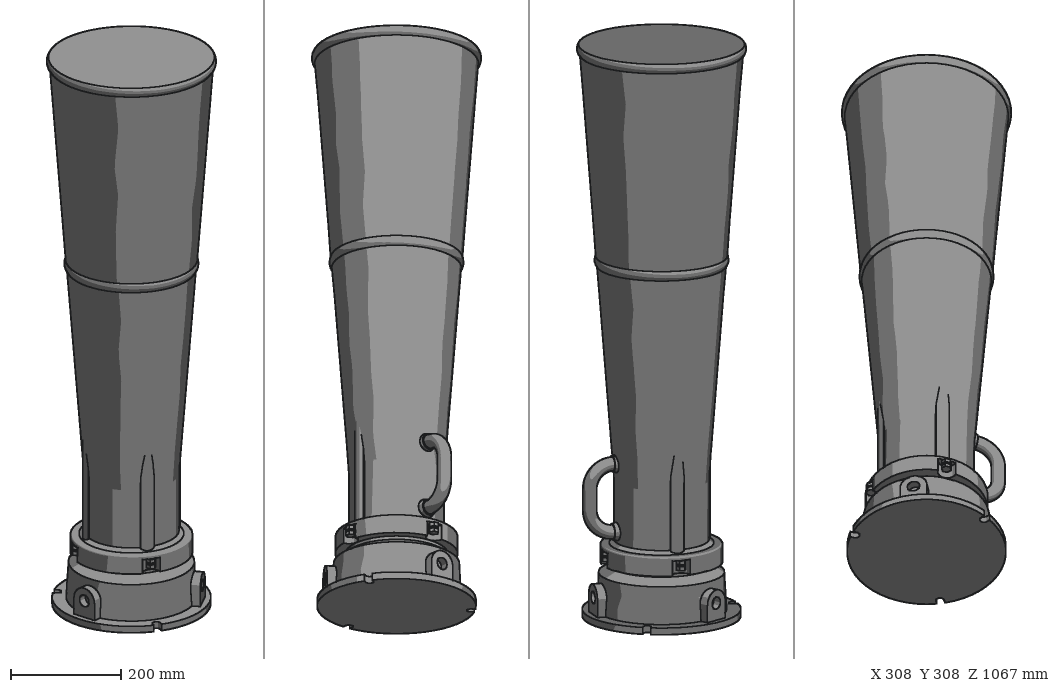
import cadquery as cq
import math


TOTAL_HEIGHT = 1067.0

FLANGE_RADIUS = 144.0
FLANGE_THICKNESS = 13.0
HOUSING_FOOT_RADIUS = 118.0
HOUSING_TOP_RADIUS = 114.0
HOUSING_TOP_Z = 82.0
NECK_RADIUS = 93.0
NECK_BOTTOM_Z = 95.0
JOINT_Z = 101.0

LUG_ANGLES = [60, 180, 300]
LUG_FACE_DISTANCE = 131.0
LUG_HALF_WIDTH = 25.0
LUG_ROOT_DISTANCE = 64.0
LUG_HOLE_Z = 45.0
LUG_HOLE_DIAMETER = 22.0
LUG_HOLE_DEPTH = 16.0
SLOT_ANGLES = [0, 120, 240]
SLOT_WIDTH = 15.0
SLOT_DEPTH = 15.0

COLLAR_RADIUS = 111.0
COLLAR_TOP_Z = 137.0
COLLAR_EDGE_RADIUS = 3.0
FOOT_RADIUS = 95.0
TUBE_RADIUS = 86.0
TUBE_BOTTOM_Z = 143.0
FLARE_BOTTOM_Z = 255.0
BEAD_HEIGHT = 18.0
LOWER_FLARE_RADIUS = 117.0
MIDDLE_BEAD_TOP_Z = 672.0
MIDDLE_BEAD_RADIUS = 122.0
UPPER_FLARE_BOTTOM_RADIUS = 120.0
UPPER_FLARE_TOP_RADIUS = 148.0
RIM_RADIUS = 154.0
TOP_FACE_RADIUS = 150.0

POCKET_ANGLES = [0, 90, 180, 270]
POCKET_RADIUS = 17.0
POCKET_TOP_Z = 129.0
NUT_ACROSS_CORNERS = 18.0
NUT_SIDES = 6
NUT_TURN = 30
NUT_HEIGHT = 7.0
BOLT_DIAMETER = 11.0
BOLT_GAP = 3.0
BOLT_DISTANCE = 107.0

RIB_ANGLES = [0, 90, 270]
RIB_ROOT_HALF_WIDTH = 16.0
RIB_FACE_HALF_WIDTH = 13.0
RIB_ROOT_DISTANCE = 75.0
RIB_SIDE_REACH = 87.0
RIB_REACH = 93.0
RIB_TOP_Z = 363.0

HANDLE_PIPE_RADIUS = 13.0
HANDLE_REACH = 150.0
HANDLE_BEND_RADIUS = 44.0
HANDLE_LOWER_Z = 164.0
HANDLE_UPPER_Z = 291.0
PAD_OUTER_RADIUS = 15.0
PAD_INNER_RADIUS = 20.0
HANDLE_ROOT_DISTANCE = 75.0


def place_around_axis(shape, angle):
    """Turn a feature modelled on the +X side to the given angle about Z."""
    return shape.rotate((0, 0, 0), (0, 0, 1), angle)



def make_base_profile():
    outline = [
        (0, 0),
        (FLANGE_RADIUS, 0),
        (FLANGE_RADIUS, FLANGE_THICKNESS),
        (HOUSING_FOOT_RADIUS, FLANGE_THICKNESS),
        (HOUSING_TOP_RADIUS, HOUSING_TOP_Z),
        (NECK_RADIUS, NECK_BOTTOM_Z),
        (NECK_RADIUS, JOINT_Z),
        (0, JOINT_Z),
    ]
    return cq.Workplane("XZ").polyline(outline).close().revolve(360, (0, 0), (0, 1))


def make_lug():
    """Arched block on the +X side, standing on the flange."""
    return (
        cq.Workplane("YZ", origin=(LUG_ROOT_DISTANCE, 0, 0))
        .moveTo(-LUG_HALF_WIDTH, FLANGE_THICKNESS)
        .lineTo(LUG_HALF_WIDTH, FLANGE_THICKNESS)
        .lineTo(LUG_HALF_WIDTH, LUG_HOLE_Z)
        .threePointArc((0, LUG_HOLE_Z + LUG_HALF_WIDTH), (-LUG_HALF_WIDTH, LUG_HOLE_Z))
        .close()
        .extrude(LUG_FACE_DISTANCE - LUG_ROOT_DISTANCE)
    )


def make_lug_hole():
    return (
        cq.Workplane("YZ", origin=(LUG_FACE_DISTANCE, 0, LUG_HOLE_Z))
        .circle(LUG_HOLE_DIAMETER / 2)
        .extrude(-LUG_HOLE_DEPTH)
    )


def make_rim_slot():
    """Round-ended slot, open at the flange rim on the +X side."""
    slot_length = 2 * SLOT_DEPTH
    return (
        cq.Workplane("XY")
        .center(FLANGE_RADIUS, 0)
        .slot2D(slot_length, SLOT_WIDTH)
        .extrude(FLANGE_THICKNESS)
    )


def make_base():
    base = make_base_profile()
    for angle in LUG_ANGLES:
        base = base.union(place_around_axis(make_lug(), angle))
        base = base.cut(place_around_axis(make_lug_hole(), angle))
    for angle in SLOT_ANGLES:
        base = base.cut(place_around_axis(make_rim_slot(), angle))
    return base



def add_bead(profile, bead_radius, bottom_radius, top_radius, top_z):
    """Add a rounded bead that swells out from the flare and back in to its upper edge."""
    bottom_z = top_z - BEAD_HEIGHT
    return profile.lineTo(bottom_radius, bottom_z).threePointArc(
        (bead_radius, top_z - BEAD_HEIGHT / 2),
        (top_radius, top_z),
    )


def make_horn_profile():
    edge_center_radius = COLLAR_RADIUS - COLLAR_EDGE_RADIUS
    edge_center_z = COLLAR_TOP_Z - COLLAR_EDGE_RADIUS
    edge_diagonal = COLLAR_EDGE_RADIUS * math.sqrt(0.5)

    profile = (
        cq.Workplane("XZ")
        .moveTo(0, JOINT_Z)
        .lineTo(COLLAR_RADIUS, JOINT_Z)
        .lineTo(COLLAR_RADIUS, edge_center_z)
        .threePointArc(
            (edge_center_radius + edge_diagonal, edge_center_z + edge_diagonal),
            (edge_center_radius, COLLAR_TOP_Z),
        )
        .lineTo(FOOT_RADIUS, COLLAR_TOP_Z)
        .lineTo(TUBE_RADIUS, TUBE_BOTTOM_Z)
        .lineTo(TUBE_RADIUS, FLARE_BOTTOM_Z)
    )
    profile = add_bead(
        profile, MIDDLE_BEAD_RADIUS, LOWER_FLARE_RADIUS, UPPER_FLARE_BOTTOM_RADIUS, MIDDLE_BEAD_TOP_Z
    )
    profile = add_bead(profile, RIM_RADIUS, UPPER_FLARE_TOP_RADIUS, TOP_FACE_RADIUS, TOTAL_HEIGHT)
    return profile.lineTo(0, TOTAL_HEIGHT).close().revolve(360, (0, 0), (0, 1))


def make_bolt_pocket():
    """Upright half-round pocket in the collar wall, open below and outward."""
    return (
        cq.Workplane("XY", origin=(COLLAR_RADIUS, 0, JOINT_Z))
        .circle(POCKET_RADIUS)
        .extrude(POCKET_TOP_Z - JOINT_Z)
    )


def make_bolt():
    """Nut and bolt head, both hexagons on a short shank, hanging from the roof of the pocket."""
    bolt = cq.Workplane("XY", origin=(BOLT_DISTANCE, 0, POCKET_TOP_Z))
    length = 2 * NUT_HEIGHT + BOLT_GAP
    shank = bolt.circle(BOLT_DIAMETER / 2).extrude(-length)
    turned_plane = bolt.transformed(rotate=(0, 0, NUT_TURN))
    nut = turned_plane.polygon(NUT_SIDES, NUT_ACROSS_CORNERS).extrude(-NUT_HEIGHT)
    head = nut.translate((0, 0, -NUT_HEIGHT - BOLT_GAP))
    return shank.union(nut).union(head)


def make_rib():
    """Upright bar with tapered sides and a rounded face, running out where the flare grows past it."""
    return (
        cq.Workplane("XY", origin=(0, 0, COLLAR_TOP_Z))
        .moveTo(RIB_ROOT_DISTANCE, -RIB_ROOT_HALF_WIDTH)
        .lineTo(RIB_SIDE_REACH, -RIB_FACE_HALF_WIDTH)
        .threePointArc((RIB_REACH, 0), (RIB_SIDE_REACH, RIB_FACE_HALF_WIDTH))
        .lineTo(RIB_ROOT_DISTANCE, RIB_ROOT_HALF_WIDTH)
        .close()
        .extrude(RIB_TOP_Z - COLLAR_TOP_Z)
    )


def make_handle_pad(height):
    """Tapered weld pad between the tube and one end of the handle."""
    pad_distance = HANDLE_REACH - HANDLE_PIPE_RADIUS - HANDLE_BEND_RADIUS
    return (
        cq.Workplane("YZ", origin=(-HANDLE_ROOT_DISTANCE, 0, height))
        .circle(PAD_INNER_RADIUS)
        .workplane(offset=HANDLE_ROOT_DISTANCE - pad_distance)
        .circle(PAD_OUTER_RADIUS)
        .loft()
    )


def make_handle():
    grip_x = -(HANDLE_REACH - HANDLE_PIPE_RADIUS)
    bend_x = grip_x + HANDLE_BEND_RADIUS
    bend_diagonal = HANDLE_BEND_RADIUS * math.sqrt(0.5)
    lower_bend_z = HANDLE_LOWER_Z + HANDLE_BEND_RADIUS
    upper_bend_z = HANDLE_UPPER_Z - HANDLE_BEND_RADIUS

    path = (
        cq.Workplane("XZ")
        .moveTo(-HANDLE_ROOT_DISTANCE, HANDLE_LOWER_Z)
        .lineTo(bend_x, HANDLE_LOWER_Z)
        .threePointArc((bend_x - bend_diagonal, lower_bend_z - bend_diagonal), (grip_x, lower_bend_z))
        .lineTo(grip_x, upper_bend_z)
        .threePointArc((bend_x - bend_diagonal, upper_bend_z + bend_diagonal), (bend_x, HANDLE_UPPER_Z))
        .lineTo(-HANDLE_ROOT_DISTANCE, HANDLE_UPPER_Z)
    )
    handle = (
        cq.Workplane("YZ", origin=(-HANDLE_ROOT_DISTANCE, 0, HANDLE_LOWER_Z))
        .circle(HANDLE_PIPE_RADIUS)
        .sweep(path)
    )
    for height in (HANDLE_LOWER_Z, HANDLE_UPPER_Z):
        handle = handle.union(make_handle_pad(height))
    return handle


def make_horn():
    horn = make_horn_profile()
    for angle in POCKET_ANGLES:
        horn = horn.cut(place_around_axis(make_bolt_pocket(), angle))
        horn = horn.union(place_around_axis(make_bolt(), angle))
    for angle in RIB_ANGLES:
        horn = horn.union(place_around_axis(make_rib(), angle))
    return horn.union(make_handle())


base = make_base()
horn = make_horn()

result = cq.Compound.makeCompound([base.solids().val(), horn.solids().val()])